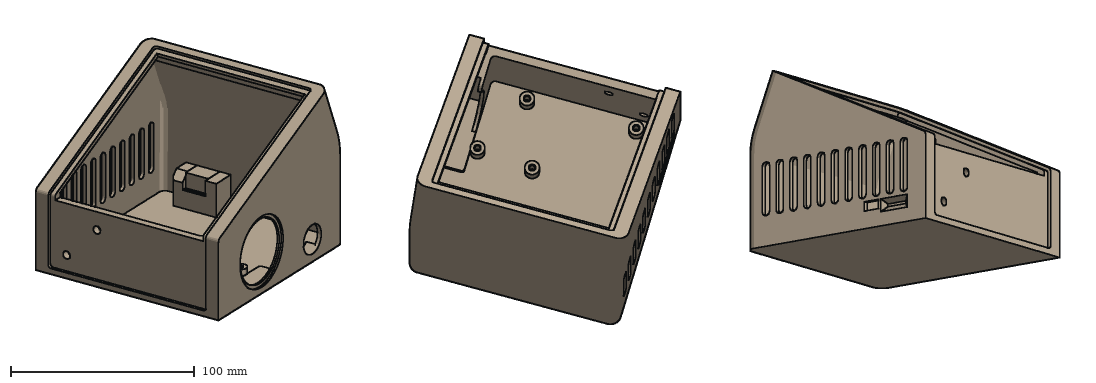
import cadquery as cq
import math

WIDTH = 119.5
DEPTH = 124.0
HEIGHT = 98.8
WALL = 2.5
FLOOR = 2.6

TOP_ANGLE = 25.0
BACK_ANGLE = 22.5
RIDGE_Y = 108.3
BEND_RADIUS = 40.0
BACK_EDGE_RADIUS = 6.0
BROW_RADIUS = 2.5

COVER_WIDTH = 102.9
COVER_THICKNESS = 2.0
COVER_BOTTOM = 3.5
COVER_BACK_Y = 104.3
COVER_CORNER_RADIUS = 1.7
COVER_BROW_RADIUS = 1.9

WINDOW_WIDTH = 96.7
WINDOW_BACK_Y = 102.2
LEDGE_THICKNESS = 2.6
LEDGE_CHAMFER_BOTTOM = 84.2

PANEL_THICKNESS = 5.0
PANEL_TOP = 43.9
PANEL_HOLE_DIAMETER = 4.6
PANEL_HOLES = [(18.8, 13.0), (38.7, 33.0)]

SLOT_COUNT = 11
SLOT_WIDTH = 5.0
SLOT_HEIGHT = 30.0
FIRST_SLOT_Y = 15.0
LAST_SLOT_Y = 110.0
SLOT_BOTTOM = 17.1

SWITCH_Y = 37.3
SWITCH_Z = 12.5
SWITCH_WIDTH = 9.7
SWITCH_HEIGHT = 5.2
FUNNEL_Y = 21.7
FUNNEL_Z = 11.5
FUNNEL_OUTER = (18.1, 7.2)
FUNNEL_INNER = (12.4, 1.5)

STANDOFFS = [(21.1, 14.0), (83.0, 14.0), (69.3, 51.6), (101.0, 48.9)]
STANDOFF_DIAMETER = 8.0
STANDOFF_TOP = 9.0
STANDOFF_MOUTH_DIAMETER = 3.8
STANDOFF_HOLE_DIAMETER = 3.0

ROUND_Y = 42.4
ROUND_Z = 25.0
ROUND_DIAMETER = 38.3
ROUND_RECESS_DIAMETER = 42.4
ROUND_RIM_THICKNESS = 1.2
MOUNT_X = 104.9
MOUNT_BACK_Y = 62.6
MOUNT_SEAT_Z = 5.3
MOUNT_INNER_RADIUS = 2.5
MOUNT_END_RADIUS = 1.2
PILLAR_BACK_Y = ROUND_Y - ROUND_RECESS_DIAMETER / 2
LIP_THICKNESS = 2.1
LIP_DIAMETER = 39.9
LIP_TIP_Y = 27.2
LIP_TIP_RADIUS = 3.8
LIP_FOOT_Y = 39.0

SMALL_Y = 92.4
SMALL_Z = 13.5
SMALL_DIAMETER = 17.5
CRADLE_X = 111.2
CRADLE_FRONT_Y = 84.1
CRADLE_BACK_Y = 98.8
CRADLE_TOP = 7.9
CRADLE_EDGE_RADIUS = 1.2

HOLDER_LEFT = 17.6
HOLDER_FRONT_Y = 107.1
HOLDER_TOP = 22.8
HOLDER_CORNER_RADIUS = 2.1
CHEEK_WIDTH = 7.2
CHEEK_CHAMFER = 5.0
HOLDER_LIP_TOP = 13.5
HOLDER_LIP_DEPTH = 1.9
MODULE_WIDTH = 14.9
MODULE_STEP_DEPTH = 1.2

SLOPE = math.tan(math.radians(TOP_ANGLE))
LEAN = math.tan(math.radians(BACK_ANGLE))
TOP_NORMAL = (-math.sin(math.radians(TOP_ANGLE)), math.cos(math.radians(TOP_ANGLE)))
MIDDLE_X = WIDTH / 2
PANEL_INSIDE_Y = COVER_THICKNESS + PANEL_THICKNESS
INNER_BACK_Y = DEPTH - WALL
INNER_RIGHT_X = WIDTH - WALL
CLEAR_ABOVE = HEIGHT + WALL
BEND_Z = HEIGHT - (DEPTH - RIDGE_Y) / LEAN
INNER_BEND_Z = BEND_Z - WALL * math.tan(math.radians(BACK_ANGLE / 2))
POCKET_LEFT = HOLDER_LEFT + CHEEK_WIDTH
POCKET_RIGHT = POCKET_LEFT + MODULE_WIDTH
POCKET_FRONT_Y = HOLDER_FRONT_Y + HOLDER_LIP_DEPTH


def top_height(y, depth=0.0):
    """Height at y of the plane that lies `depth` below the sloped top."""
    return HEIGHT - (RIDGE_Y - y) * SLOPE - depth / TOP_NORMAL[1]


def below_top(y, depth, start_depth=0.0):
    """Point `depth` further in, square to the top, from y on the plane `start_depth` below the top."""
    return (y - depth * TOP_NORMAL[0], top_height(y, start_depth) - depth * TOP_NORMAL[1])


def prism(points, left, width):
    """Outline of (y, z) points extruded along X."""
    return cq.Workplane("YZ", origin=(left, 0, 0)).polyline(points).close().extrude(width)


def block(left, right, front, back, bottom, top):
    """Box given by the places of its six sides."""
    corner = cq.Workplane("XY", origin=(left, front, bottom))
    return corner.box(right - left, back - front, top - bottom, centered=False)


def rod(left, right, y, z, diameter):
    """Round bar along X."""
    return cq.Workplane("YZ", origin=(left, y, z)).circle(diameter / 2).extrude(right - left)


def at_point(x, y, z):
    """Selector for the edge nearest to a point."""
    return cq.NearestToPointSelector((x, y, z))


def outer_shape():
    brow_z = top_height(0)
    points = [(0, 0), (DEPTH, 0), (DEPTH, BEND_Z), (RIDGE_Y, HEIGHT), (0, brow_z)]
    shape = prism(points, 0, WIDTH)
    shape = shape.edges(at_point(MIDDLE_X, DEPTH, BEND_Z)).fillet(BEND_RADIUS)
    shape = shape.edges(at_point(MIDDLE_X, 0, brow_z)).fillet(BROW_RADIUS)
    return shape.edges("|Z and >Y").fillet(BACK_EDGE_RADIUS)


def cavity():
    ledge_depth = COVER_THICKNESS + LEDGE_THICKNESS
    ledge_edge = below_top(WINDOW_BACK_Y, LEDGE_THICKNESS, COVER_THICKNESS)
    chamfer_y = INNER_BACK_Y - (LEDGE_CHAMFER_BOTTOM - INNER_BEND_Z) * LEAN
    points = [
        (PANEL_INSIDE_Y, FLOOR),
        (INNER_BACK_Y, FLOOR),
        (INNER_BACK_Y, INNER_BEND_Z),
        (chamfer_y, LEDGE_CHAMFER_BOTTOM),
        ledge_edge,
        (PANEL_INSIDE_Y, top_height(PANEL_INSIDE_Y, ledge_depth)),
    ]
    shape = prism(points, WALL, WIDTH - 2 * WALL)
    shape = shape.edges(at_point(MIDDLE_X, INNER_BACK_Y, INNER_BEND_Z)).fillet(BEND_RADIUS)
    return shape.edges("|Z and >Y").fillet(BACK_EDGE_RADIUS - WALL)


def cover_recess():
    brow_z = top_height(COVER_THICKNESS, COVER_THICKNESS)
    points = [
        (-COVER_THICKNESS, COVER_BOTTOM),
        (COVER_THICKNESS, COVER_BOTTOM),
        (COVER_THICKNESS, brow_z),
        below_top(COVER_BACK_Y, COVER_THICKNESS),
        below_top(COVER_BACK_Y, -COVER_THICKNESS),
        (-COVER_THICKNESS, CLEAR_ABOVE),
    ]
    shape = prism(points, MIDDLE_X - COVER_WIDTH / 2, COVER_WIDTH)
    shape = shape.edges(at_point(MIDDLE_X, COVER_THICKNESS, brow_z)).fillet(COVER_BROW_RADIUS)
    shape = shape.edges("|Y and <Z").fillet(COVER_CORNER_RADIUS)
    top_direction = cq.Vector(0, *TOP_NORMAL)
    return shape.edges(cq.selectors.ParallelDirSelector(top_direction)).fillet(COVER_CORNER_RADIUS)


def window():
    reach = LEDGE_THICKNESS + WALL
    points = [
        (0, PANEL_TOP),
        (PANEL_INSIDE_Y, PANEL_TOP),
        below_top(WINDOW_BACK_Y, reach, COVER_THICKNESS),
        below_top(WINDOW_BACK_Y, -reach, COVER_THICKNESS),
        (0, CLEAR_ABOVE),
    ]
    return prism(points, MIDDLE_X - WINDOW_WIDTH / 2, WINDOW_WIDTH)


def panel_holes():
    plane = cq.Workplane("XZ", origin=(0, PANEL_INSIDE_Y, 0))
    return plane.pushPoints(PANEL_HOLES).circle(PANEL_HOLE_DIAMETER / 2).extrude(PANEL_INSIDE_Y)


def vent_slots():
    middle_z = SLOT_BOTTOM + SLOT_HEIGHT / 2
    pitch = (LAST_SLOT_Y - FIRST_SLOT_Y) / (SLOT_COUNT - 1)
    places = [(FIRST_SLOT_Y + i * pitch, middle_z) for i in range(SLOT_COUNT)]
    return cq.Workplane("YZ").pushPoints(places).slot2D(SLOT_HEIGHT, SLOT_WIDTH, 90).extrude(WALL)


def switch_opening():
    plane = cq.Workplane("YZ", origin=(0, SWITCH_Y, SWITCH_Z))
    return plane.rect(SWITCH_WIDTH, SWITCH_HEIGHT).extrude(WALL)


def plug_funnel():
    """Opening that narrows through the wall."""
    plane = cq.Workplane("YZ", origin=(0, FUNNEL_Y, FUNNEL_Z))
    return plane.rect(*FUNNEL_OUTER).workplane(offset=WALL).rect(*FUNNEL_INNER).loft()


def standoff(x, y):
    height = STANDOFF_TOP - FLOOR
    post = cq.Workplane("XY", origin=(x, y, FLOOR)).circle(STANDOFF_DIAMETER / 2).extrude(height)
    post = post.faces(">Z").workplane().hole(STANDOFF_HOLE_DIAMETER, height)
    mouth = (STANDOFF_MOUTH_DIAMETER - STANDOFF_HOLE_DIAMETER) / 2
    return post.edges("%CIRCLE and >Z").edges(cq.selectors.RadiusNthSelector(0)).chamfer(mouth)


def round_mount():
    """Pillar in the front corner, a low seat behind it and a lip around the opening."""
    seat = block(MOUNT_X, INNER_RIGHT_X, PANEL_INSIDE_Y, MOUNT_BACK_Y, FLOOR, MOUNT_SEAT_Z)
    seat = seat.edges("|Z and <X and >Y").fillet(MOUNT_END_RADIUS)
    pillar = block(MOUNT_X, INNER_RIGHT_X, PANEL_INSIDE_Y, PILLAR_BACK_Y, FLOOR, PANEL_TOP)

    lip_right = MOUNT_X + LIP_THICKNESS
    lip = block(MOUNT_X, lip_right, PILLAR_BACK_Y, LIP_TIP_Y, MOUNT_SEAT_Z, PANEL_TOP)
    lip = lip.edges("|X and >Y and >Z").fillet(LIP_TIP_RADIUS)
    lip_foot = block(MOUNT_X, lip_right, PILLAR_BACK_Y, LIP_FOOT_Y, MOUNT_SEAT_Z, ROUND_Z)
    lip = lip.union(lip_foot).cut(rod(MOUNT_X, lip_right, ROUND_Y, ROUND_Z, LIP_DIAMETER))

    round_x = MOUNT_X - MOUNT_INNER_RADIUS
    round_y = PANEL_INSIDE_Y + MOUNT_INNER_RADIUS
    corner = block(round_x, MOUNT_X, PANEL_INSIDE_Y, round_y, FLOOR, PANEL_TOP)
    hollow = cq.Workplane("XY", origin=(round_x, round_y, 0)).circle(MOUNT_INNER_RADIUS)
    corner = corner.cut(hollow.extrude(PANEL_TOP))
    return seat.union(pillar).union(lip).union(corner)


def cradle():
    """Block under the small opening, which later hollows out its top."""
    shape = block(CRADLE_X, INNER_RIGHT_X, CRADLE_FRONT_Y, CRADLE_BACK_Y, FLOOR, CRADLE_TOP)
    return shape.edges("|X and <Y and >Z").fillet(CRADLE_EDGE_RADIUS)


def module_holder():
    """Two cheeks joined by a low front lip, open towards the back wall."""
    left_cheek = block(HOLDER_LEFT, POCKET_LEFT, HOLDER_FRONT_Y, INNER_BACK_Y, FLOOR, HOLDER_TOP)
    left_cheek = left_cheek.edges("|X and <Y and >Z").chamfer(CHEEK_CHAMFER)
    left_cheek = left_cheek.edges("|Z and <X and <Y").fillet(HOLDER_CORNER_RADIUS)
    holder_right = POCKET_RIGHT + CHEEK_WIDTH
    right_cheek = block(POCKET_RIGHT, holder_right, HOLDER_FRONT_Y, INNER_BACK_Y, FLOOR, HOLDER_TOP)
    lip = block(POCKET_LEFT, POCKET_RIGHT, HOLDER_FRONT_Y, POCKET_FRONT_Y, FLOOR, HOLDER_LIP_TOP)
    return left_cheek.union(right_cheek).union(lip)


def build_housing():
    body = outer_shape().cut(cavity()).cut(cover_recess()).cut(window())
    body = body.union(round_mount()).union(cradle()).union(module_holder())
    for x, y in STANDOFFS:
        body = body.union(standoff(x, y))
    body = body.cut(rod(INNER_RIGHT_X, WIDTH, ROUND_Y, ROUND_Z, ROUND_DIAMETER))
    rim_right = INNER_RIGHT_X + ROUND_RIM_THICKNESS
    body = body.cut(rod(rim_right, WIDTH, ROUND_Y, ROUND_Z, ROUND_RECESS_DIAMETER))
    body = body.cut(rod(CRADLE_X, WIDTH, SMALL_Y, SMALL_Z, SMALL_DIAMETER))
    for opening in (panel_holes(), vent_slots(), switch_opening(), plug_funnel()):
        body = body.cut(opening)
    return body


def build_module():
    """Block with a step at the front, flush with the lip of its holder."""
    step_y = POCKET_FRONT_Y + MODULE_STEP_DEPTH
    step = block(POCKET_LEFT, POCKET_RIGHT, POCKET_FRONT_Y, step_y, FLOOR, HOLDER_LIP_TOP)
    return step.union(block(POCKET_LEFT, POCKET_RIGHT, step_y, INNER_BACK_Y, FLOOR, HOLDER_TOP))


housing = build_housing()
module = build_module()
result = cq.Compound.makeCompound([housing.solids().val(), module.solids().val()])